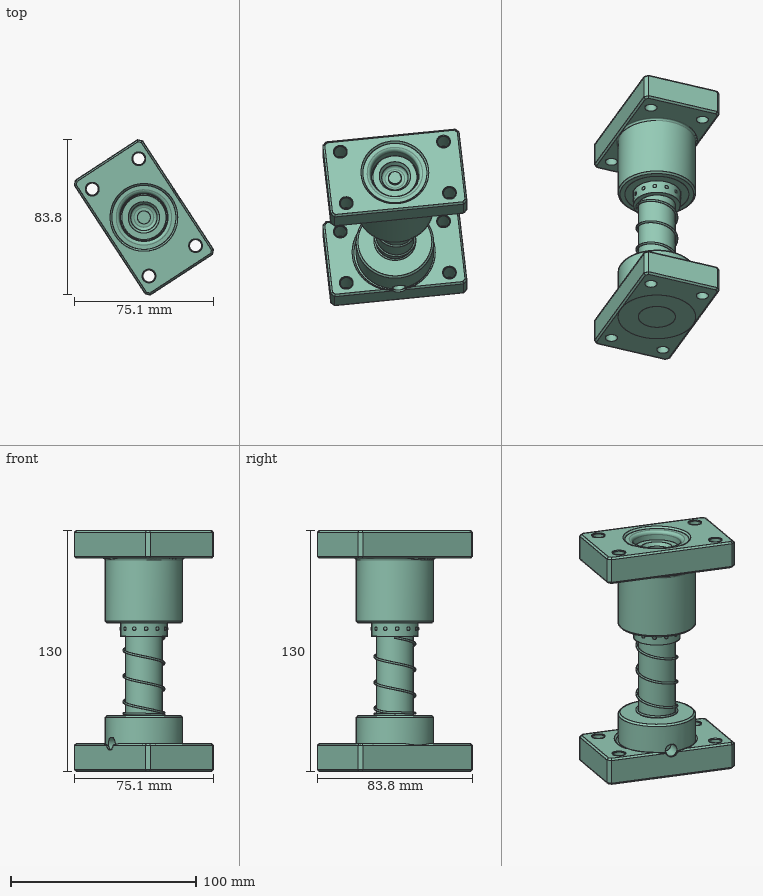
import cadquery as cq
import math

TOTAL_HEIGHT = 130.0
PLATE_TURN = -56.85

PLATE_LENGTH = 74.0
PLATE_WIDTH = 44.0
PLATE_THICKNESS = 15.0
CORNER_CHAMFER = 2.0
EDGE_CHAMFER = 1.0
BOLT_SPACING_LONG = 56.0
BOLT_SPACING_SHORT = 30.0
BOLT_HOLE_RADIUS = 3.2
BOLT_HOLE_CHAMFER = 0.45
BOLT_CHAMFER_ANGLE = 90

SLEEVE_RADIUS = 20.9
SLEEVE_BOTTOM = 80.1
BUSHING_RADIUS = 17.3
BUSHING_BORE_RADIUS = 13.0
BUSHING_MOUTH_FILLET = 2.0

SOCKET_RADIUS = 20.9
RELIEF_RADIUS = 21.5
RELIEF_OFFSET = 0.6
SOCKET_HEIGHT = 30.0
PILLAR_RADIUS = 10.0
RELEASE_HOLE_RADIUS = 3.4
RELEASE_HOLE_END = 12.0

CAGE_RADIUS = 12.6
CAGE_BOTTOM = 72.8
BALL_COUNT = 12
BALL_RADIUS = 1.4
BALL_ROW_HEIGHT = 77.0
BALL_ROW_TURN = 5.6

RETAINER_RADIUS = 12.0
RETAINER_TOP = 124.4
RETAINER_FLANGE = 2.0
DISH_MOUTH_RADIUS = 8.5
DISH_WALL_RADIUS = 7.2
DISH_FLOOR_FILLET = 1.8
DISH_FLOOR_THICKNESS = 2.0
SCREW_RADIUS = 3.5
SCREW_RISE = 1.7
SCREW_LENGTH = 13.0

WIRE_RADIUS = 0.5
COIL_RADIUS = 10.8
COIL_PITCH = 13.9
OPEN_TURNS = 3
CLOSED_COIL_PITCH = 1.1
COIL_BLEND = 0.2
COIL_POINTS_PER_TURN = 16

UPPER_PLATE_BOTTOM = TOTAL_HEIGHT - PLATE_THICKNESS
BUSHING_TOP = TOTAL_HEIGHT - EDGE_CHAMFER
PILLAR_TOP = RETAINER_TOP - RETAINER_FLANGE
DISH_FLOOR = PILLAR_TOP - DISH_FLOOR_FILLET
DISH_UNDERSIDE = DISH_FLOOR - DISH_FLOOR_THICKNESS
SCREW_TOP = DISH_FLOOR + SCREW_RISE
SCREW_BOTTOM = SCREW_TOP - SCREW_LENGTH


def disc(radius, bottom, top):
    """Solid cylinder on the Z axis between two levels."""
    return cq.Workplane("XY", origin=(0, 0, bottom)).circle(radius).extrude(top - bottom)


def cone(bottom_radius, top_radius, bottom, top):
    """Solid truncated cone on the Z axis between two levels."""
    return cq.Workplane(obj=cq.Solid.makeCone(
        bottom_radius, top_radius, top - bottom, pnt=cq.Vector(0, 0, bottom)))


def turned(body):
    """Turn a body about Z into the direction of the plates."""
    return body.rotate((0, 0, 0), (0, 0, 1), PLATE_TURN)


def flange_plate(bottom):
    """Chamfered rectangular plate with four bolt holes, long side along X."""
    plate = (
        cq.Workplane("XY", origin=(0, 0, bottom))
        .rect(PLATE_LENGTH, PLATE_WIDTH)
        .extrude(PLATE_THICKNESS)
        .edges("|Z").chamfer(CORNER_CHAMFER)
        .faces("<Z or >Z").edges().chamfer(EDGE_CHAMFER)
    )
    return (
        plate.faces(">Z").workplane(origin=(0, 0, 0))
        .rect(BOLT_SPACING_LONG, BOLT_SPACING_SHORT, forConstruction=True)
        .vertices()
        .cskHole(
            2 * BOLT_HOLE_RADIUS,
            2 * (BOLT_HOLE_RADIUS + BOLT_HOLE_CHAMFER),
            BOLT_CHAMFER_ANGLE,
        )
    )


def mouth_chamfer(radius, top):
    """Conical cutter that widens from the given radius by the edge chamfer at its top."""
    return cone(radius, radius + EDGE_CHAMFER, top - EDGE_CHAMFER, top)


def root_fillet():
    """Ring that rounds the corner between the sleeve and the plate above it."""
    outer = SLEEVE_RADIUS + EDGE_CHAMFER
    ring = (
        cq.Workplane("XZ")
        .moveTo(BUSHING_RADIUS, UPPER_PLATE_BOTTOM - EDGE_CHAMFER)
        .lineTo(SLEEVE_RADIUS, UPPER_PLATE_BOTTOM - EDGE_CHAMFER)
        .radiusArc((outer, UPPER_PLATE_BOTTOM), EDGE_CHAMFER)
        .lineTo(BUSHING_RADIUS, UPPER_PLATE_BOTTOM)
        .close()
        .revolve(360, (0, 0, 0), (0, 1, 0))
    )
    underside = cq.Workplane("XY", origin=(0, 0, UPPER_PLATE_BOTTOM)).box(
        PLATE_LENGTH, PLATE_WIDTH - 2 * EDGE_CHAMFER, PLATE_THICKNESS)
    return ring.intersect(underside)


def make_upper_housing():
    """Upper plate with the sleeve that hangs below it, bored for the bushing."""
    sleeve = disc(SLEEVE_RADIUS, SLEEVE_BOTTOM, UPPER_PLATE_BOTTOM)
    sleeve = sleeve.faces("<Z").edges().chamfer(EDGE_CHAMFER)
    housing = flange_plate(UPPER_PLATE_BOTTOM).union(sleeve).union(root_fillet())
    housing = housing.cut(disc(BUSHING_RADIUS, SLEEVE_BOTTOM, TOTAL_HEIGHT))
    return turned(housing.cut(mouth_chamfer(BUSHING_RADIUS, TOTAL_HEIGHT)))


def make_bushing():
    """Plain liner in the sleeve, with a rounded upper mouth."""
    bushing = disc(BUSHING_RADIUS, SLEEVE_BOTTOM, BUSHING_TOP)
    bushing = bushing.cut(disc(BUSHING_BORE_RADIUS, SLEEVE_BOTTOM, BUSHING_TOP))
    return bushing.faces(">Z").edges(cq.selectors.RadiusNthSelector(0)).fillet(BUSHING_MOUTH_FILLET)


def release_hole():
    """Blind cross hole from one long side, half in the plate and half in the socket."""
    return (
        cq.Workplane("XZ", origin=(0, -RELEASE_HOLE_END, PLATE_THICKNESS))
        .circle(RELEASE_HOLE_RADIUS)
        .extrude(PLATE_WIDTH)
    )


def make_lower_plate():
    """Lower plate, bored for the pillar socket, with a shallow off-centre relief around it."""
    plate = flange_plate(0).cut(release_hole())
    plate = plate.cut(disc(SOCKET_RADIUS, 0, PLATE_THICKNESS))
    relief = mouth_chamfer(RELIEF_RADIUS, PLATE_THICKNESS).translate((-RELIEF_OFFSET, 0, 0))
    return turned(plate.cut(relief))


def make_socket():
    """Ring that holds the pillar in the lower plate."""
    socket = disc(SOCKET_RADIUS, 0, SOCKET_HEIGHT).faces(">Z").edges().chamfer(EDGE_CHAMFER)
    socket = socket.cut(disc(PILLAR_RADIUS, 0, SOCKET_HEIGHT))
    return turned(socket.cut(release_hole()))


def make_pillar():
    """Guide pillar, recessed at the top for the retainer dish and its screw."""
    pillar = disc(PILLAR_RADIUS, 0, PILLAR_TOP)
    pillar = pillar.cut(disc(DISH_MOUTH_RADIUS, DISH_UNDERSIDE, PILLAR_TOP))
    return pillar.cut(disc(SCREW_RADIUS, SCREW_BOTTOM, PILLAR_TOP))


def make_ball_cage():
    """Cage around the pillar with one exposed row of balls."""
    cage = disc(CAGE_RADIUS, CAGE_BOTTOM, PILLAR_TOP)
    ball_circle = BUSHING_BORE_RADIUS - BALL_RADIUS
    for index in range(BALL_COUNT):
        angle = math.radians(BALL_ROW_TURN + 360 / BALL_COUNT * index)
        place = (ball_circle * math.cos(angle), ball_circle * math.sin(angle), BALL_ROW_HEIGHT)
        cage = cage.union(cq.Workplane("XY").sphere(BALL_RADIUS).translate(place))
    return cage.cut(disc(PILLAR_RADIUS, CAGE_BOTTOM, PILLAR_TOP))


def make_retainer():
    """Flanged dish on the pillar top that stops the ball cage."""
    retainer = disc(RETAINER_RADIUS, PILLAR_TOP, RETAINER_TOP)
    retainer = retainer.union(disc(DISH_MOUTH_RADIUS, DISH_UNDERSIDE, PILLAR_TOP))
    bowl = disc(DISH_WALL_RADIUS, DISH_FLOOR, RETAINER_TOP)
    bowl = bowl.faces("<Z").edges().fillet(DISH_FLOOR_FILLET)
    retainer = retainer.cut(bowl)
    retainer = retainer.cut(cone(DISH_WALL_RADIUS, DISH_MOUTH_RADIUS, PILLAR_TOP, RETAINER_TOP))
    return retainer.cut(disc(SCREW_RADIUS, DISH_UNDERSIDE, RETAINER_TOP))


def make_screw():
    """Plain round screw that fixes the retainer to the pillar."""
    return disc(SCREW_RADIUS, SCREW_BOTTOM, SCREW_TOP)


def coil_height(turn):
    """Height of the wire centre: one closed turn below zero, open coils above it."""
    seat = SOCKET_HEIGHT + WIRE_RADIUS
    closed = seat + CLOSED_COIL_PITCH * (turn + 1)
    opened = seat + COIL_PITCH * turn
    half_gap = (opened - closed) / 2
    return (opened + closed) / 2 + math.hypot(half_gap, COIL_BLEND)


def make_spring():
    """Left-handed coil spring between the socket and the ball cage."""
    count = (OPEN_TURNS + 1) * COIL_POINTS_PER_TURN
    points = []
    for index in range(count + 1):
        turn = index / COIL_POINTS_PER_TURN - 1
        angle = -2 * math.pi * turn
        points.append(
            (COIL_RADIUS * math.cos(angle), COIL_RADIUS * math.sin(angle), coil_height(turn)))
    path = cq.Workplane("XY").spline(points)
    return cq.Workplane("XZ", origin=points[0]).circle(WIRE_RADIUS).sweep(path, isFrenet=True)


upper_housing = make_upper_housing()
bushing = make_bushing()
lower_plate = make_lower_plate()
socket = make_socket()
pillar = make_pillar()
ball_cage = make_ball_cage()
retainer = make_retainer()
screw = make_screw()
spring = make_spring()

result = cq.Compound.makeCompound([
    upper_housing.val(),
    bushing.val(),
    lower_plate.val(),
    socket.val(),
    pillar.val(),
    ball_cage.val(),
    retainer.val(),
    screw.val(),
    spring.val(),
])